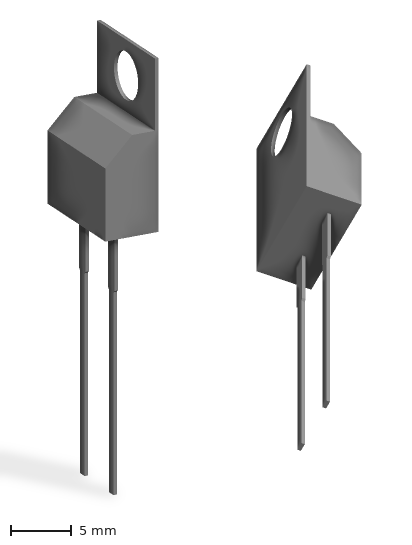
import cadquery as cq

width = 10.16
depth = 4.95
overall_height = 38.51

housing_height = 8.92
chamfer = 2.5

tab_thickness = 0.33
tab_height = 6.33
hole_diameter = 4.23
hole_below_tab_top = 3.17

lead_pitch = 5.08
lead_thickness = 0.31
lead_center_y = -2.9
lead_length = overall_height - housing_height - tab_height
shank_length = 5.3
shank_width = 1.15
tip_width = 0.8
shoulder_height = (shank_width - tip_width) / 2
lead_positions = [-lead_pitch / 2, lead_pitch / 2]


def make_housing():
    """Block with the top front edge cut away by a 45 degree face."""
    return (
        cq.Workplane("YZ")
        .moveTo(0, 0)
        .lineTo(-depth, 0)
        .lineTo(-depth, housing_height - chamfer)
        .lineTo(-depth + chamfer, housing_height)
        .lineTo(0, housing_height)
        .close()
        .extrude(width / 2, both=True)
    )


def make_tab():
    """Thin plate on top of the housing, flush with its back, with a screw hole."""
    plate = cq.Workplane("XY").box(width, tab_thickness, tab_height, centered=(True, False, False))
    plate = plate.translate((0, -tab_thickness, housing_height))
    hole_z = housing_height + tab_height - hole_below_tab_top
    hole = (
        cq.Workplane("XZ")
        .center(0, hole_z)
        .circle(hole_diameter / 2)
        .extrude(tab_thickness)
    )
    return plate.cut(hole)


def make_lead(center_x):
    """Flat lead hanging below the housing: a wide shank, 45 degree shoulders and a narrow tip."""
    outline = [
        (-shank_width / 2, 0),
        (-shank_width / 2, -shank_length),
        (-tip_width / 2, -shank_length - shoulder_height),
        (-tip_width / 2, -lead_length),
        (tip_width / 2, -lead_length),
        (tip_width / 2, -shank_length - shoulder_height),
        (shank_width / 2, -shank_length),
        (shank_width / 2, 0),
    ]
    lead = cq.Workplane("XZ").polyline(outline).close().extrude(lead_thickness / 2, both=True)
    return lead.translate((center_x, lead_center_y, 0))


housing = make_housing()
tab = make_tab()
leads = [make_lead(center_x) for center_x in lead_positions]

result = cq.Compound.makeCompound([housing.val(), tab.val(), *[lead.val() for lead in leads]])